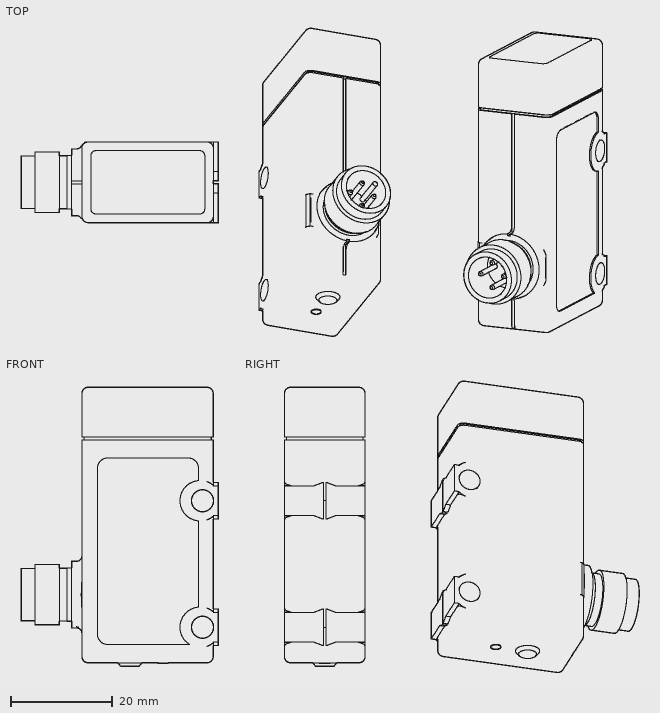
import cadquery as cq
import math

body_length = 26.0
body_width = 16.0
body_height = 54.5
edge_radius = 1.3
head_height = 9.9
parting_height = 0.5
parting_depth = 0.4
split_width = 0.6
split_depth = 0.3

window_length = 22.5
window_width = 12.5
window_center_x = 13.05
window_depth = 1.0
window_round = 0.95
lens_diameter = 9.1
lens_spacing = 6.0
lens_center_x = 14.0
lens_rise = 0.3

hole_diameter = 4.3
hole_x = 23.85
hole_heights = (7.05, 32.05)
boss_radius = 4.0
boss_x = 23.4
tab_reach = 1.0
tab_half_height = 2.95
tab_ridge_half_height = 3.65
tab_slope_start = 2.1
tab_gap = 0.55

label_left = 3.1
label_right = 23.05
label_bottom = 3.65
label_top = 40.5
label_corner = 2.0
label_depth = 0.3

connector_z = 13.5
connector_length = 12.0
thread_diameter = 10.4
collar_diameter = 12.0
collar_start = 2.75
collar_end = 7.55
neck_diameter = 10.5
neck_end = 9.1
shoulder_diameter = 10.6
flange_start = 10.0
flange_diameter = 13.25
flare_radius = 1.0
flare_half_width = 7.15
flange_notch_radius = 6.25
gusset_half_height = 3.6
gusset_inner_y = 7.3
gusset_outer_y = 7.95
bore_diameter = 8.3
bore_depth = 9.0
pin_diameter = 0.95
pin_circle_radius = 2.5
pin_recess = 1.75
pin_tip_inset = 0.2
pin_tip_length = 0.5
key_circle_radius = 3.68
key_diameter = 1.0

button_x = 9.5
button_diameter = 4.8
button_height = 0.7
button_face_diameter = 3.6
indicator_x = 16.06
indicator_diameter = 2.0
indicator_height = 0.15

overlap = 0.5


def box(x_range, y_range, z_range):
    """Axis-aligned box given by its limits."""
    size = [high - low for low, high in (x_range, y_range, z_range)]
    corner = (x_range[0], y_range[0], z_range[0])
    return cq.Workplane("XY").box(*size, centered=False).translate(corner)


def rod_x(diameter, x_start, x_end, y=0.0, z=connector_z):
    """Round rod parallel to X."""
    plane = cq.Plane(origin=(x_start, y, z), xDir=(0, 1, 0), normal=(1, 0, 0))
    return cq.Workplane(plane).circle(diameter / 2).extrude(x_end - x_start)


def rod_y(diameter, x, z):
    """Round rod parallel to Y over the full housing width."""
    plane = cq.Plane(origin=(x, -body_width / 2, z), xDir=(1, 0, 0), normal=(0, 1, 0))
    return cq.Workplane(plane).circle(diameter / 2).extrude(body_width)


def make_housing():
    """Rounded block with the parting groove below the head and the seam in the connector face."""
    half_width = body_width / 2
    block = box((0, body_length), (-half_width, half_width), (0, body_height)).edges().fillet(edge_radius)
    groove_top = body_height - head_height
    groove_bottom = groove_top - parting_height
    groove_range = (groove_bottom, groove_top)
    core = (
        box(
            (parting_depth, body_length - parting_depth),
            (-half_width + parting_depth, half_width - parting_depth),
            groove_range,
        )
        .edges("|Z")
        .fillet(edge_radius - parting_depth)
    )
    groove = box((0, body_length), (-half_width, half_width), groove_range).cut(core)
    seam = box((0, split_depth), (-split_width / 2, split_width / 2), (0, groove_bottom))
    return block.cut(groove).cut(seam)


def make_window():
    """Recess in the top with rounded corners and a rounded floor edge."""
    return (
        cq.Workplane("XY", origin=(window_center_x, 0, body_height - window_depth))
        .rect(window_length, window_width)
        .extrude(2 * window_depth)
        .edges("|Z or <Z")
        .fillet(window_round)
    )


def make_lens(x):
    """Shallow spherical cap standing on the window floor."""
    radius = lens_diameter / 2
    floor = body_height - window_depth
    sphere_radius = (radius**2 + lens_rise**2) / (2 * lens_rise)
    middle = radius / 2
    middle_rise = math.sqrt(sphere_radius**2 - middle**2) - (sphere_radius - lens_rise)
    return (
        cq.Workplane("XZ", origin=(x, 0, floor))
        .moveTo(0, -overlap)
        .lineTo(radius, -overlap)
        .lineTo(radius, 0)
        .threePointArc((middle, middle_rise), (0, lens_rise))
        .close()
        .revolve(360, (0, 0, 0), (0, 1, 0))
    )


def make_label_pocket():
    """Shallow pocket in the front face, interrupted by the round mounting bosses."""
    front = -body_width / 2
    pocket = (
        box((label_left, label_right), (front, front + label_depth), (label_bottom, label_top))
        .edges("|Y")
        .fillet(label_corner)
    )
    for z in hole_heights:
        pocket = pocket.cut(rod_y(2 * boss_radius, boss_x, z))
    return pocket


def make_mount(z):
    """Boss across the housing corner and the ridged tab on its +X side."""
    half_width = body_width / 2
    limits = box((boss_x, body_length), (-half_width, half_width), (z - boss_radius, z + boss_radius))
    boss = rod_y(2 * boss_radius, boss_x, z).intersect(limits)
    gap_edge = tab_gap / 2
    half_tab = (
        cq.Workplane("YZ", origin=(body_length - overlap, 0, z))
        .polyline(
            [
                (gap_edge, -tab_ridge_half_height),
                (tab_slope_start, -tab_half_height),
                (half_width, -tab_half_height),
                (half_width, tab_half_height),
                (tab_slope_start, tab_half_height),
                (gap_edge, tab_ridge_half_height),
            ]
        )
        .close()
        .extrude(overlap + tab_reach)
    )
    return boss.union(half_tab).union(half_tab.mirror("XZ"))


def make_flange():
    """Connector flange flaring into the housing, notched along the housing seam."""
    flange_radius = flange_diameter / 2
    outer_radius = flange_radius + flare_radius
    flange_x = flange_start - connector_length
    bend = flare_radius * math.sqrt(0.5)
    flange = (
        cq.Workplane("XY")
        .moveTo(flange_x, 0)
        .lineTo(flange_x, flange_radius)
        .lineTo(-flare_radius, flange_radius)
        .threePointArc((bend - flare_radius, outer_radius - bend), (0, outer_radius))
        .lineTo(edge_radius, outer_radius)
        .lineTo(edge_radius, 0)
        .close()
        .revolve(360, (0, 0, 0), (1, 0, 0))
        .translate((0, 0, connector_z))
    )
    flange = flange.intersect(
        box(
            (flange_x, edge_radius),
            (-flare_half_width, flare_half_width),
            (connector_z - outer_radius, connector_z + outer_radius),
        )
    )
    notch = box(
        (flange_x, split_depth),
        (-split_width / 2, split_width / 2),
        (connector_z - outer_radius, connector_z + outer_radius),
    ).cut(rod_x(2 * flange_notch_radius, flange_x, split_depth))
    return flange.cut(notch)


def make_gusset():
    """Sloped fill between the flange and the rounded +Y edge of the housing."""
    root_y = body_width / 2 - edge_radius
    slope_end_x = gusset_outer_y - gusset_inner_y
    return (
        cq.Workplane("XY", origin=(0, 0, connector_z - gusset_half_height))
        .polyline(
            [
                (edge_radius, root_y),
                (0, root_y),
                (0, gusset_inner_y),
                (slope_end_x, gusset_outer_y),
                (edge_radius, gusset_outer_y),
            ]
        )
        .close()
        .extrude(2 * gusset_half_height)
    )


def make_plug():
    """Stepped plug barrel with its socket bore, contact pins and keying rib."""
    mouth = -connector_length
    barrel_steps = (
        (thread_diameter, 0, collar_start),
        (collar_diameter, collar_start, collar_end),
        (neck_diameter, collar_end, neck_end),
        (shoulder_diameter, neck_end, flange_start + overlap),
    )
    plug = rod_x(thread_diameter, mouth, 0)
    for diameter, start, end in barrel_steps:
        plug = plug.union(rod_x(diameter, mouth + start, mouth + end))
    floor = mouth + bore_depth
    plug = plug.cut(rod_x(bore_diameter, mouth, floor))
    tip = mouth + pin_recess
    for angle in (0, 90, 180, 270):
        y = pin_circle_radius * math.cos(math.radians(angle))
        z = connector_z + pin_circle_radius * math.sin(math.radians(angle))
        pin = rod_x(pin_diameter, tip, floor + overlap, y, z)
        plug = plug.union(pin.faces("<X").chamfer(pin_tip_length, pin_tip_inset))
    key_offset = key_circle_radius * math.sqrt(0.5)
    key = rod_x(key_diameter, tip, floor + overlap, -key_offset, connector_z + key_offset)
    return plug.union(key)


def make_underside():
    """Tapered button and small indicator window below the housing."""
    button = (
        cq.Workplane("XY", origin=(button_x, 0, 0))
        .circle(button_diameter / 2)
        .workplane(offset=-button_height)
        .circle(button_face_diameter / 2)
        .loft()
    )
    indicator = (
        cq.Workplane("XY", origin=(indicator_x, 0, -indicator_height))
        .circle(indicator_diameter / 2)
        .extrude(indicator_height + overlap)
    )
    return button, indicator


result = make_housing().cut(make_window())
for side in (-1, 1):
    result = result.union(make_lens(lens_center_x + side * lens_spacing / 2))

result = result.cut(make_label_pocket())
for hole_z in hole_heights:
    result = result.union(make_mount(hole_z)).cut(rod_y(hole_diameter, hole_x, hole_z))

bore_clearance = rod_x(bore_diameter, -connector_length, bore_depth - connector_length)
result = result.union(make_flange().cut(bore_clearance)).union(make_gusset()).union(make_plug())

for detail in make_underside():
    result = result.union(detail)